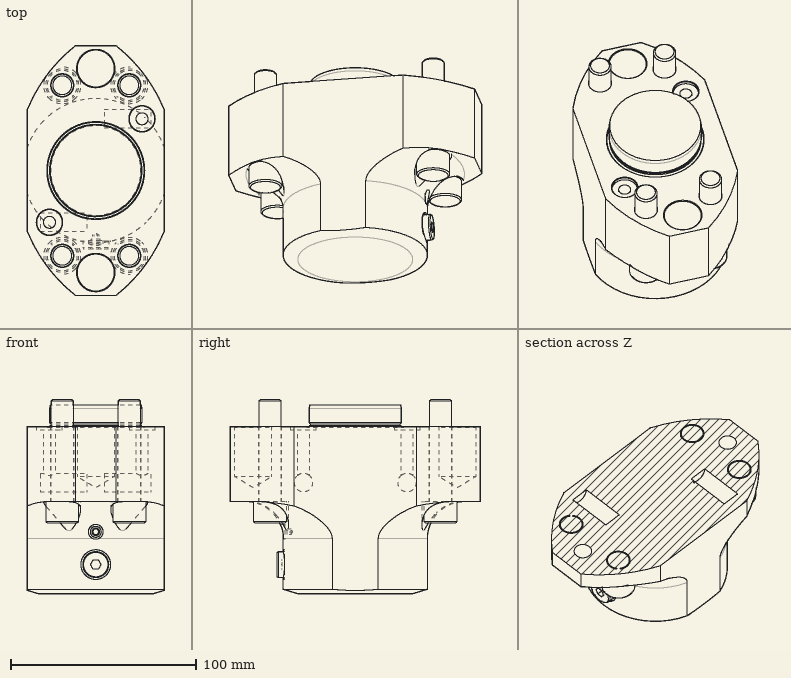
import cadquery as cq
import math

FLANGE_LENGTH = 135.0
FLANGE_WIDTH = 74.0
FLANGE_THICKNESS = 40.5
END_FLAT_WIDTH = 21.9
SIDE_FLAT_LENGTH = 65.9
BARREL_RADIUS = 39.0
NECK_RADIUS = 20.0
NECK_BASE_Z = 29.8
FLANGE_BOTTOM_Z = NECK_BASE_Z + NECK_RADIUS
FLANGE_TOP_Z = FLANGE_BOTTOM_Z + FLANGE_THICKNESS
BASE_CHAMFER_HEIGHT = 2.4
BASE_CHAMFER_WIDTH = 8.0

BOLT_X = 18.1
BOLT_Y = 46.0
BOLT_DIAMETER = 12.0
BOLT_HOLE_DIAMETER = 12.5
BOLT_TOP_Z = 105.0
BOLT_TIP_CHAMFER = 1.0
BOLT_HEAD_DIAMETER = 17.8
BOLT_HEAD_HEIGHT = 11.6
BOLT_HEAD_CHAMFER = 0.8
HEAD_POCKET_DIAMETER = 20.0

LOCATING_Y = 55.1
LOCATING_DIAMETER = 20.0
LOCATING_DEPTH = 27.0
LOCATING_RIM_CHAMFER = 0.4
DRILL_TIP_ANGLE = 118.0

PISTON_RADIUS = 25.0
PISTON_TOP_Z = 102.0
PISTON_TOP_RADIUS = 24.6
PISTON_TOP_TAPER = 2.0
PISTON_NECK_RADIUS = 24.3
PISTON_NECK_TOP_Z = 91.7
PISTON_NECK_TAPER = 0.8
WIPER_GROOVE_RADIUS = 26.5
WIPER_OUTER_RADIUS = 26.0
WIPER_DEPTH = 0.5
WIPER_LIP_RADIUS = 24.6
WIPER_LIP_FOOT_RADIUS = 24.8
WIPER_LIP_HEIGHT = 0.7

PORT_X = 25.0
PORT_Y = 28.0
PORT_DIAMETER = 6.5
PORT_SEAT_DIAMETER = 13.8
PORT_SEAT_DEPTH = 1.9
PORT_SEAT_CHAMFER = 0.3
PASSAGE_Z = 60.1
PASSAGE_DIAMETER = 10.0
PASSAGE_OUTER_X = 29.7
PASSAGE_LENGTH = 25.0

PLUG_Z = 15.8
PLUG_RECESS_DIAMETER = 16.0
PLUG_RECESS_Y = 38.1
PLUG_HEAD_DIAMETER = 14.0
PLUG_HEAD_Y = 42.3
PLUG_CHAMFER_HEIGHT = 0.8
PLUG_CHAMFER_WIDTH = 0.4
PLUG_HEX_FLATS = 5.0
PLUG_HEX_DEPTH = 2.7

SET_SCREW_Z = 33.5
SET_SCREW_RECESS_DIAMETER = 8.0
SET_SCREW_RECESS_Y = 37.8
SET_SCREW_DIAMETER = 6.0
SET_SCREW_SEAT_DIAMETER = 4.0
SET_SCREW_SEAT_DEPTH = 1.0
SET_SCREW_HEX_FLATS = 3.0
SET_SCREW_HEX_DEPTH = 3.0


def hex_corner_diameter(flats):
    return flats / math.cos(math.radians(30))


def drill_tip_height(diameter):
    return diameter / 2 / math.tan(math.radians(DRILL_TIP_ANGLE / 2))


def revolved(points):
    """Solid of revolution about Z from (radius, z) points."""
    return cq.Workplane("XZ").polyline(points).close().revolve(360, (0, 0, 0), (0, 1, 0))


def front_plane(z, y):
    """Sketch plane facing -Y, centred on x = 0 at height z and distance y from the axis."""
    return cq.Workplane("XZ", origin=(0, -y, z))


def flange_outline():
    """Flange plan prism: flat sides and ends joined by arcs centred on the X axis."""
    half_width = FLANGE_WIDTH / 2
    half_length = FLANGE_LENGTH / 2
    half_end = END_FLAT_WIDTH / 2
    half_side = SIDE_FLAT_LENGTH / 2
    arc_centre = ((half_end**2 + half_length**2 - half_width**2 - half_side**2)
                  / (2 * (half_width - half_end)))
    arc_radius = math.hypot(half_width + arc_centre, half_side)
    mid_y = (half_side + half_length) / 2
    mid_x = math.sqrt(arc_radius**2 - mid_y**2) - arc_centre
    return (
        cq.Workplane("XY")
        .moveTo(half_width, -half_side)
        .lineTo(half_width, half_side)
        .threePointArc((mid_x, mid_y), (half_end, half_length))
        .lineTo(-half_end, half_length)
        .threePointArc((-mid_x, mid_y), (-half_width, half_side))
        .lineTo(-half_width, -half_side)
        .threePointArc((-mid_x, -mid_y), (-half_end, -half_length))
        .lineTo(half_end, -half_length)
        .threePointArc((mid_x, -mid_y), (half_width, -half_side))
        .close()
        .extrude(FLANGE_TOP_Z)
    )


def turned_body():
    """Barrel, concave neck and oversize disc, to be trimmed to the flange outline."""
    neck_centre = BARREL_RADIUS + NECK_RADIUS
    neck_mid_offset = NECK_RADIUS * math.sqrt(0.5)
    return (
        cq.Workplane("XZ")
        .moveTo(0, 0)
        .lineTo(BARREL_RADIUS - BASE_CHAMFER_WIDTH, 0)
        .lineTo(BARREL_RADIUS, BASE_CHAMFER_HEIGHT)
        .lineTo(BARREL_RADIUS, NECK_BASE_Z)
        .threePointArc((neck_centre - neck_mid_offset, NECK_BASE_Z + neck_mid_offset),
                       (neck_centre, FLANGE_BOTTOM_Z))
        .lineTo(FLANGE_LENGTH, FLANGE_BOTTOM_Z)
        .lineTo(FLANGE_LENGTH, FLANGE_TOP_Z)
        .lineTo(0, FLANGE_TOP_Z)
        .close()
        .revolve(360, (0, 0, 0), (0, 1, 0))
    )


def bolt_holes():
    holes = (
        cq.Workplane("XY", origin=(0, 0, FLANGE_BOTTOM_Z))
        .rect(2 * BOLT_X, 2 * BOLT_Y, forConstruction=True)
        .vertices()
        .circle(BOLT_HOLE_DIAMETER / 2)
        .extrude(FLANGE_THICKNESS)
    )
    head_pockets = (
        cq.Workplane("XY", origin=(0, 0, NECK_BASE_Z))
        .rect(2 * BOLT_X, 2 * BOLT_Y, forConstruction=True)
        .vertices()
        .circle(HEAD_POCKET_DIAMETER / 2)
        .extrude(NECK_RADIUS)
    )
    return holes.union(head_pockets)


def bolts():
    head_bottom_z = FLANGE_BOTTOM_Z - BOLT_HEAD_HEIGHT
    head = (
        cq.Workplane("XY", origin=(0, 0, head_bottom_z))
        .circle(BOLT_HEAD_DIAMETER / 2)
        .extrude(BOLT_HEAD_HEIGHT)
        .faces("<Z").chamfer(BOLT_HEAD_CHAMFER)
    )
    shank = (
        cq.Workplane("XY", origin=(0, 0, head_bottom_z + BOLT_HEAD_CHAMFER))
        .circle(BOLT_DIAMETER / 2)
        .extrude(BOLT_TOP_Z - head_bottom_z - BOLT_HEAD_CHAMFER)
        .faces(">Z").chamfer(BOLT_TIP_CHAMFER)
    )
    bolt = head.union(shank)
    group = cq.Workplane("XY")
    for x in (-BOLT_X, BOLT_X):
        for y in (-BOLT_Y, BOLT_Y):
            group = group.add(bolt.translate((x, y, 0)))
    return group.combine()


def locating_holes():
    radius = LOCATING_DIAMETER / 2
    floor_z = FLANGE_TOP_Z - LOCATING_DEPTH
    hole = revolved([
        (0, floor_z - drill_tip_height(LOCATING_DIAMETER)),
        (radius, floor_z),
        (radius, FLANGE_TOP_Z - LOCATING_RIM_CHAMFER),
        (radius + LOCATING_RIM_CHAMFER, FLANGE_TOP_Z),
        (0, FLANGE_TOP_Z),
    ])
    return hole.translate((0, LOCATING_Y, 0)).union(hole.translate((0, -LOCATING_Y, 0)))


def wiper_groove():
    """Shallow countersunk recess in the flange top, filled in the middle by the wiper and piston."""
    return revolved([
        (0, FLANGE_TOP_Z - WIPER_DEPTH),
        (WIPER_OUTER_RADIUS, FLANGE_TOP_Z - WIPER_DEPTH),
        (WIPER_GROOVE_RADIUS, FLANGE_TOP_Z),
        (0, FLANGE_TOP_Z),
    ])


def piston_and_wiper():
    """Piston with a narrow neck, seated in a wiper ring that slopes down to the recess edge."""
    lip_z = FLANGE_TOP_Z + WIPER_LIP_HEIGHT
    return revolved([
        (0, FLANGE_TOP_Z - WIPER_DEPTH),
        (WIPER_OUTER_RADIUS, FLANGE_TOP_Z - WIPER_DEPTH),
        (WIPER_LIP_FOOT_RADIUS, FLANGE_TOP_Z),
        (WIPER_LIP_RADIUS, lip_z),
        (PISTON_NECK_RADIUS, lip_z),
        (PISTON_NECK_RADIUS, PISTON_NECK_TOP_Z),
        (PISTON_RADIUS, PISTON_NECK_TOP_Z + PISTON_NECK_TAPER),
        (PISTON_RADIUS, PISTON_TOP_Z - PISTON_TOP_TAPER),
        (PISTON_TOP_RADIUS, PISTON_TOP_Z),
        (0, PISTON_TOP_Z),
    ])


def oil_ports():
    """Two seated ports, each running down into a cross passage that heads inward along X."""
    seat_radius = PORT_SEAT_DIAMETER / 2
    seat_z = FLANGE_TOP_Z - PORT_SEAT_DEPTH
    drop = revolved([
        (0, PASSAGE_Z),
        (PORT_DIAMETER / 2, PASSAGE_Z),
        (PORT_DIAMETER / 2, seat_z),
        (seat_radius, seat_z),
        (seat_radius, FLANGE_TOP_Z - PORT_SEAT_CHAMFER),
        (seat_radius + PORT_SEAT_CHAMFER, FLANGE_TOP_Z),
        (0, FLANGE_TOP_Z),
    ]).translate((PORT_X, PORT_Y, 0))
    passage = (
        cq.Workplane("YZ", origin=(PASSAGE_OUTER_X, PORT_Y, PASSAGE_Z))
        .circle(PASSAGE_DIAMETER / 2)
        .extrude(-PASSAGE_LENGTH)
    )
    port = drop.union(passage)
    return port.union(port.rotate((0, 0, 0), (0, 0, 1), 180))


def plug_recess():
    return (
        front_plane(PLUG_Z, PLUG_RECESS_Y)
        .circle(PLUG_RECESS_DIAMETER / 2)
        .extrude(PLUG_HEAD_Y - PLUG_RECESS_Y)
    )


def plug_screw():
    radius = PLUG_HEAD_DIAMETER / 2
    height = PLUG_HEAD_Y - PLUG_RECESS_Y
    head = (
        revolved([
            (0, 0),
            (radius, 0),
            (radius, height - PLUG_CHAMFER_HEIGHT),
            (radius - PLUG_CHAMFER_WIDTH, height),
            (0, height),
        ])
        .rotate((0, 0, 0), (1, 0, 0), 90)
        .translate((0, -PLUG_RECESS_Y, PLUG_Z))
    )
    socket = (
        front_plane(PLUG_Z, PLUG_HEAD_Y)
        .polygon(6, hex_corner_diameter(PLUG_HEX_FLATS))
        .extrude(-PLUG_HEX_DEPTH)
    )
    return head.cut(socket)


def set_screw_recess():
    """Spot face, conical lead-in and hex socket with a drilled tip."""
    spot_face = (
        front_plane(SET_SCREW_Z, SET_SCREW_RECESS_Y)
        .circle(SET_SCREW_RECESS_DIAMETER / 2)
        .extrude(BARREL_RADIUS + NECK_RADIUS - SET_SCREW_RECESS_Y)
    )
    corner_diameter = hex_corner_diameter(SET_SCREW_HEX_FLATS)
    corner_radius = corner_diameter / 2
    drilled = revolved([
        (0, -SET_SCREW_HEX_DEPTH - drill_tip_height(corner_diameter)),
        (corner_radius, -SET_SCREW_HEX_DEPTH),
        (corner_radius, 0),
        (0, 0),
    ])
    hex_bar = cq.Workplane("XY").polygon(6, corner_diameter).extrude(-2 * SET_SCREW_HEX_DEPTH)
    lead_in = revolved([
        (0, -SET_SCREW_SEAT_DEPTH),
        (SET_SCREW_SEAT_DIAMETER / 2, -SET_SCREW_SEAT_DEPTH),
        (SET_SCREW_DIAMETER / 2, 0),
        (0, 0),
    ])
    socket = (
        drilled.intersect(hex_bar)
        .union(lead_in)
        .rotate((0, 0, 0), (1, 0, 0), 90)
        .translate((0, -SET_SCREW_RECESS_Y, SET_SCREW_Z))
    )
    return spot_face.union(socket)


body = turned_body().intersect(flange_outline())
cutters = (
    bolt_holes(),
    locating_holes(),
    wiper_groove(),
    oil_ports(),
    plug_recess(),
    set_screw_recess(),
)
for cutter in cutters:
    body = body.cut(cutter)

result = body.union(bolts()).union(piston_and_wiper()).union(plug_screw())